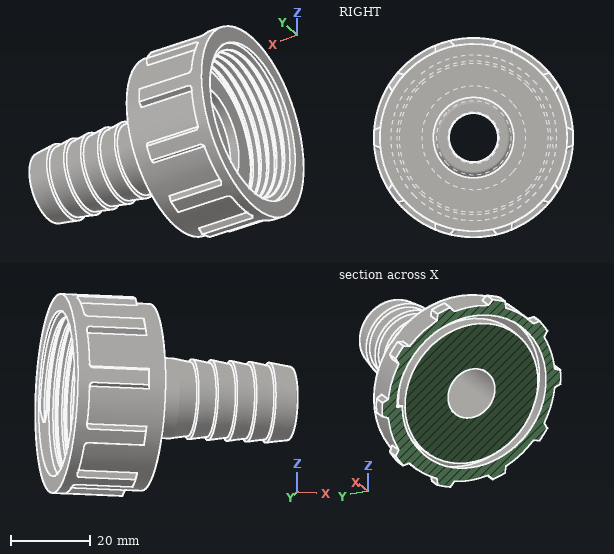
import cadquery as cq
import math


nut_length = 23.0
rim_diameter = 50.5
rim_radius = rim_diameter / 2
rim_length = 3.0
barrel_radius = 23.7
nut_floor_start = 18.8

rib_count = 10
rib_end = 18.8
rib_end_slant = 0.4
rib_top_width = 3.75
rib_base_width = 5.1
rib_corner_radius = 0.95

thread_pitch = 2.3
thread_turns = 6
thread_major_radius = 20.95
thread_minor_radius = 19.45
thread_start = 1.35
thread_crest_width = 0.55
thread_base_width = 1.95
runout_length = 3.35
runout_tip_scale = 0.25

washer_front = 11.9
washer_thickness = 2.5
washer_outer_radius = 18.85
washer_inner_radius = 13.15

total_length = 60.6
tail_radius = 10.2
barb_root_radius = 9.4
barb_count = 6
first_barb_start = 29.65
barb_face_length = 0.35
end_barb_length = 6.0
end_rounding = 0.8
bore_front_radius = 6.55
bore_end_radius = 6.2

flange_front = washer_front + washer_thickness


def revolve_about_x(profile):
    """Turn a closed outline, drawn as X against radius, about the X axis."""
    return profile.close().revolve(360, (0, 0, 0), (1, 0, 0))


def disc(start, end, radius):
    return cq.Workplane("YZ", origin=(start, 0, 0)).circle(radius).extrude(end - start)


def make_rough_rib():
    """An untrimmed rib on the -Y side, with a piece of the rim that its rounded corners run into."""
    margin = 0.6
    bottom_radius = barrel_radius - margin
    top_radius = rim_radius + margin
    flank_slope = (rib_base_width - rib_top_width) / 2 / (rim_radius - barrel_radius)
    bottom_half = rib_base_width / 2 + margin * flank_slope
    top_half = rib_top_width / 2 - margin * flank_slope
    bar = (
        cq.Workplane("YZ")
        .polyline([
            (-bottom_radius, -bottom_half),
            (-top_radius, -top_half),
            (-top_radius, top_half),
            (-bottom_radius, bottom_half),
        ])
        .close()
        .extrude(rib_end)
    )
    rim_piece_width = 2 * (bottom_half + 2 * rib_corner_radius)
    rim_piece = (
        cq.Workplane("XY", origin=(0, -top_radius, 0))
        .box(rim_length, top_radius - bottom_radius, rim_piece_width, centered=(False, False, True))
    )
    corners = cq.selectors.BoxSelector(
        (rim_length - margin, -top_radius, -bottom_half),
        (rim_length + margin, -bottom_radius, bottom_half),
    )
    return bar.union(rim_piece).edges(corners).fillet(rib_corner_radius)


def make_thread_section(scale):
    """The ridge's section in the XZ plane, shrunk by a scale and sunk a little into the wall."""
    sunk = 0.1
    height = thread_major_radius - thread_minor_radius
    flank_slope = (thread_base_width - thread_crest_width) / 2 / height
    crest_half = scale * thread_crest_width / 2
    sunk_half = scale * (thread_base_width / 2 + sunk * flank_slope)
    crest_radius = thread_major_radius - scale * height
    sunk_radius = thread_major_radius + sunk
    corners = [
        cq.Vector(sunk_radius, 0, -sunk_half),
        cq.Vector(crest_radius, 0, -crest_half),
        cq.Vector(crest_radius, 0, crest_half),
        cq.Vector(sunk_radius, 0, sunk_half),
    ]
    return cq.Wire.makePolygon(corners, close=True)


def make_thread_ridge():
    """Right-hand ridge that starts on the +Y side, with a short runout at its start."""
    full_section = make_thread_section(1)
    helix = cq.Wire.makeHelix(thread_pitch, thread_pitch * thread_turns, thread_major_radius)
    ridge = cq.Workplane(cq.Solid.sweep(full_section, [], helix, True, True))

    runout_angle = math.degrees(runout_length / thread_major_radius)
    tip_section = make_thread_section(runout_tip_scale).rotate(
        cq.Vector(0, 0, 0), cq.Vector(0, 0, 1), -runout_angle
    )
    runout = cq.Workplane(cq.Solid.makeLoft([full_section, tip_section], True))
    ridge = ridge.union(runout)
    axis_swap_turn = 120
    return ridge.rotate((0, 0, 0), (1, 1, 1), axis_swap_turn).translate((thread_start, 0, 0))


def make_nut():
    """Cap with a rim, grip ribs and an internal thread; the tail passes through its floor."""
    envelope = revolve_about_x(
        cq.Workplane("XZ")
        .moveTo(0, thread_major_radius)
        .lineTo(0, rim_radius)
        .lineTo(rib_end - rib_end_slant, rim_radius)
        .lineTo(rib_end, barrel_radius)
        .lineTo(nut_length, barrel_radius)
        .lineTo(nut_length, tail_radius)
        .lineTo(nut_floor_start, tail_radius)
        .lineTo(nut_floor_start, thread_major_radius)
    )
    rough_rim = disc(0, rim_length, rim_diameter)
    rough_nut = disc(0, nut_length, barrel_radius).union(rough_rim)
    rough_rib = make_rough_rib()
    ribs = [
        rough_rib.rotate((0, 0, 0), (1, 0, 0), index * 360 / rib_count).val()
        for index in range(rib_count)
    ]
    rough_nut = cq.Workplane(rough_nut.val().fuse(*ribs))
    return envelope.intersect(rough_nut).union(make_thread_ridge())


def make_washer():
    ring = disc(washer_front, flange_front, washer_outer_radius)
    return ring.cut(disc(washer_front, flange_front, washer_inner_radius))


def make_hose_tail():
    outline = (
        cq.Workplane("XZ")
        .moveTo(flange_front, 0)
        .lineTo(flange_front, washer_outer_radius)
        .lineTo(nut_floor_start, washer_outer_radius)
        .lineTo(nut_floor_start, tail_radius)
        .lineTo(first_barb_start, tail_radius)
    )
    end_barb_start = total_length - end_barb_length
    barb_pitch = (end_barb_start - first_barb_start) / (barb_count - 1)
    for index in range(1, barb_count):
        tip = first_barb_start + index * barb_pitch
        outline = outline.lineTo(tip - barb_face_length, barb_root_radius).lineTo(tip, tail_radius)
    outline = (
        outline.lineTo(total_length - end_rounding, barb_root_radius)
        .radiusArc((total_length, barb_root_radius - end_rounding), end_rounding)
        .lineTo(total_length, 0)
    )
    bore = revolve_about_x(
        cq.Workplane("XZ")
        .moveTo(flange_front, 0)
        .lineTo(flange_front, bore_front_radius)
        .lineTo(total_length, bore_end_radius)
        .lineTo(total_length, 0)
    )
    return revolve_about_x(outline).cut(bore)


nut = make_nut()
washer = make_washer()
hose_tail = make_hose_tail()
result = cq.Compound.makeCompound([body.solids().val() for body in (nut, washer, hose_tail)])